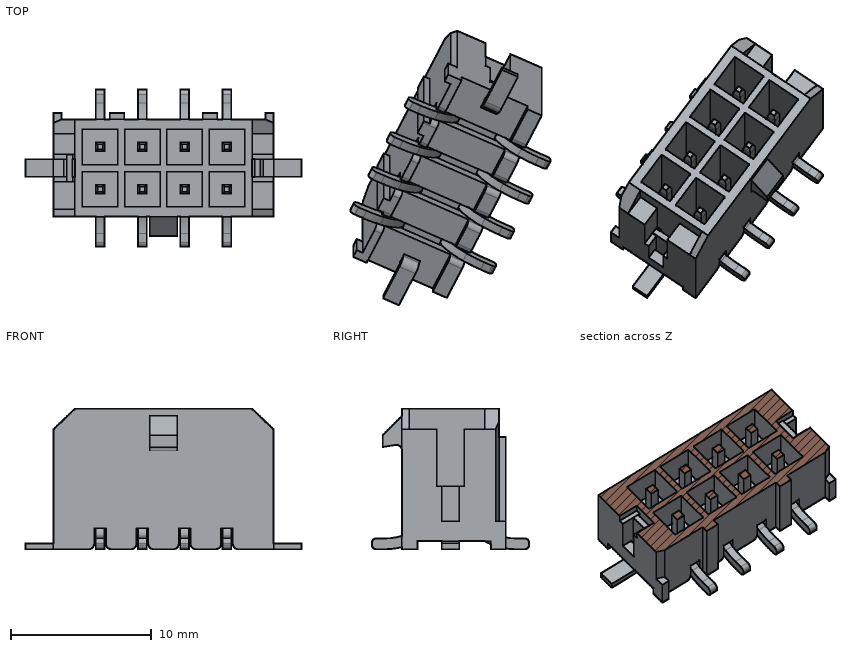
import cadquery as cq
import math

housing_length = 15.68
housing_depth = 6.92
height = 10.0
half_length = housing_length / 2
half_depth = housing_depth / 2

columns = 4
pitch = 3.0
cavity_size = 2.52
cavity_floor_z = 2.5
column_xs = [(i - (columns - 1) / 2) * pitch for i in range(columns)]
row_ys = [-pitch / 2, pitch / 2]

corner_run = 1.53
corner_drop = 1.47
shelf_z = height - corner_drop
inner_wall_x = half_length - corner_run
front_wall = 0.53
rear_wall = 1.02

rear_step = 0.47
rear_y = half_depth + rear_step
foot_top_z = 2.0
bevel_x = 0.59
bevel_y = 0.25
rib_width = 1.05
rib_spacing = 6.62
rib_top_z = 8.0

channel_front_y = -2.34
channel_rear_y = 2.87
channel_height = 0.59
lead_slot_width = 0.83
lead_slot_height = 1.5
lead_slot_flare = 0.4

latch_width = 1.98
latch_top_z = 9.5
latch_reach = 1.38
latch_tip_top_z = latch_top_z - latch_reach
latch_tip_bottom_z = 7.27
latch_root_radius = 0.4
latch_hollow_z = 7.43
latch_root_z = latch_hollow_z - latch_root_radius

nail_width = 1.25
nail_thickness = 0.43
nail_tip_x = 9.82
nail_leaf_x = 6.9
nail_bend = 0.2
nail_head_width = 1.93
nail_head_top_z = 4.62
nail_hole_outer_x = nail_leaf_x + nail_bend
slot_width = 1.96
slot_floor_z = foot_top_z
ledge_z = 4.48

contact_width = 0.63
contact_tip_z = 8.0
contact_tip_width = 0.35
contact_taper = 0.59
lead_thickness = 0.79
lead_tip_y = 5.6
lead_tip_radius = 0.33
lead_bend_y = 4.64
lead_bend_radius = 3.9
lead_bend_angle = math.radians(17)
lead_root_radius = 2.75
lead_root_angle = math.radians(60)


def block(x0, x1, y0, y1, z0, z1):
    """Axis-aligned box between two opposite corners."""
    return cq.Workplane("XY").box(x1 - x0, y1 - y0, z1 - z0, centered=False).translate((x0, y0, z0))


def make_shell():
    """Housing block with sloped top corners, end pockets and bevelled rear edges."""
    shell = (
        cq.Workplane("XZ", origin=(0, half_depth, 0))
        .polyline([
            (-half_length, 0),
            (half_length, 0),
            (half_length, shelf_z),
            (inner_wall_x, height),
            (-inner_wall_x, height),
            (-half_length, shelf_z),
        ])
        .close()
        .extrude(housing_depth)
    )
    pocket_front_y = front_wall - half_depth
    pocket_rear_y = half_depth - rear_wall
    for side in (-1, 1):
        pocket = block(inner_wall_x, half_length, pocket_front_y, pocket_rear_y, shelf_z, height)
        bevel = (
            cq.Workplane("XY", origin=(0, 0, foot_top_z))
            .polyline([
                (half_length, half_depth - bevel_y),
                (half_length, half_depth),
                (half_length - bevel_x, half_depth),
            ])
            .close()
            .extrude(height)
        )
        cutter = pocket.union(bevel)
        if side < 0:
            cutter = cutter.mirror("YZ")
        shell = shell.cut(cutter)
    return shell


def make_nail_slot():
    """Stepped slot in the +X end wall, with the hole that the nail stands in."""
    half_slot = slot_width / 2
    half_nail = nail_width / 2
    upper = block(inner_wall_x, half_length, -half_slot, half_slot, ledge_z, shelf_z)
    lower = block(inner_wall_x, half_length, -half_nail, half_nail, slot_floor_z, ledge_z)
    hole = block(inner_wall_x, nail_hole_outer_x, -half_nail, half_nail, 0, slot_floor_z)
    return upper.union(lower).union(hole)


def make_lead_slot(x):
    """Slot along Y for the leads of one column, flared by round edges at the bottom."""
    half_slot = lead_slot_width / 2
    half_mouth = half_slot + lead_slot_flare
    bulge = lead_slot_flare * math.sqrt(0.5)
    return (
        cq.Workplane("XZ", origin=(x, rear_y, 0))
        .moveTo(-half_mouth, 0)
        .threePointArc((bulge - half_mouth, lead_slot_flare - bulge), (-half_slot, lead_slot_flare))
        .lineTo(-half_slot, lead_slot_height)
        .lineTo(half_slot, lead_slot_height)
        .lineTo(half_slot, lead_slot_flare)
        .threePointArc((half_mouth - bulge, lead_slot_flare - bulge), (half_mouth, 0))
        .close()
        .extrude(2 * rear_y)
    )


def make_cavity(x, y):
    """Square socket around one contact, open at the top."""
    cavity = cq.Workplane("XY", origin=(x, y, cavity_floor_z)).rect(cavity_size, cavity_size)
    return cavity.extrude(height - cavity_floor_z)


def make_latch():
    """Ramp with a hollow underside that blends into the front face."""
    bulge = latch_root_radius * math.sqrt(0.5)
    root_y = -half_depth
    tip_y = root_y - latch_reach
    hollow_y = root_y - latch_root_radius
    return (
        cq.Workplane("YZ", origin=(-latch_width / 2, 0, 0))
        .moveTo(root_y, latch_top_z)
        .lineTo(tip_y, latch_tip_top_z)
        .lineTo(tip_y, latch_tip_bottom_z)
        .lineTo(hollow_y, latch_hollow_z)
        .threePointArc((hollow_y + bulge, latch_root_z + bulge), (root_y, latch_root_z))
        .close()
        .extrude(latch_width)
    )


def make_contact(x, row):
    """Square pin with a tapered tip and a foot that curves out of the housing; row is -1 or 1."""
    post = cq.Workplane("XY", origin=(0, -pitch / 2, lead_slot_height)).rect(contact_width, contact_width)
    post = post.extrude(contact_tip_z - contact_taper - lead_slot_height)
    tip = (
        post.faces(">Z").workplane()
        .rect(contact_width, contact_width)
        .workplane(offset=contact_taper)
        .rect(contact_tip_width, contact_tip_width)
        .loft(combine=False)
    )

    bend_y = -lead_bend_y
    bend_z = lead_thickness + lead_bend_radius
    center_shift = lead_bend_radius - lead_root_radius
    root_y = bend_y + center_shift * math.sin(lead_bend_angle)
    root_z = bend_z - center_shift * math.cos(lead_bend_angle)
    middle_bend_angle = lead_bend_angle / 2
    middle_root_angle = (lead_bend_angle + lead_root_angle) / 2

    def bend_point(offset, angle):
        radius = lead_bend_radius + offset
        return bend_y + radius * math.sin(angle), bend_z - radius * math.cos(angle)

    def root_point(offset, angle):
        radius = lead_root_radius + offset
        return root_y + radius * math.sin(angle), root_z - radius * math.cos(angle)

    lead = (
        cq.Workplane("YZ", origin=(-contact_width / 2, 0, 0))
        .moveTo(-lead_tip_y, 0)
        .lineTo(-lead_bend_y, 0)
        .threePointArc(
            bend_point(lead_thickness, middle_bend_angle),
            bend_point(lead_thickness, lead_bend_angle),
        )
        .threePointArc(
            root_point(lead_thickness, middle_root_angle),
            root_point(lead_thickness, lead_root_angle),
        )
        .lineTo(*root_point(0, lead_root_angle))
        .threePointArc(root_point(0, middle_root_angle), root_point(0, lead_bend_angle))
        .threePointArc(bend_point(0, middle_bend_angle), (-lead_bend_y, lead_thickness))
        .lineTo(-lead_tip_y, lead_thickness)
        .close()
        .extrude(contact_width)
        .faces("<Y").edges("|X").fillet(lead_tip_radius)
    )
    contact = post.union(tip).union(lead)
    if row > 0:
        contact = contact.mirror("XZ")
    return contact.translate((x, 0, 0))


def make_housing():
    """Housing with its latch, ribs, feet and molded-in contacts."""
    body = make_shell()
    for side in (-1, 1):
        foot = block(half_length - bevel_x, half_length, channel_rear_y, rear_y, 0, foot_top_z)
        rib = block(-rib_width / 2, rib_width / 2, 0, rear_step, 0, rib_top_z)
        body = body.union(foot if side > 0 else foot.mirror("YZ"))
        body = body.union(rib.translate((side * rib_spacing / 2, half_depth, 0)))
    body = body.union(make_latch())

    body = body.cut(block(-half_length, half_length, channel_front_y, channel_rear_y, 0, channel_height))
    slot = make_nail_slot()
    body = body.cut(slot).cut(slot.mirror("YZ"))
    for x in column_xs:
        body = body.cut(make_lead_slot(x))
        for y in row_ys:
            body = body.cut(make_cavity(x, y))
    for x in column_xs:
        for row in (-1, 1):
            body = body.union(make_contact(x, row))
    return body


def make_nail():
    """Bent strip at the +X end: a flat solder foot and an upright leaf."""
    inner_bend = cq.selectors.NearestToPointSelector((nail_leaf_x, 0, nail_thickness))
    outer_bend = cq.selectors.NearestToPointSelector((nail_leaf_x - nail_thickness, 0, 0))
    return (
        cq.Workplane("XZ", origin=(0, nail_width / 2, 0))
        .polyline([
            (nail_leaf_x - nail_thickness, 0),
            (nail_tip_x, 0),
            (nail_tip_x, nail_thickness),
            (nail_leaf_x, nail_thickness),
            (nail_leaf_x, ledge_z),
            (nail_leaf_x - nail_thickness, ledge_z),
        ])
        .close()
        .extrude(nail_width)
        .edges(inner_bend).fillet(nail_bend)
        .edges(outer_bend).fillet(nail_bend + nail_thickness)
    )


def make_headed_nail():
    """Nail at the -X end, whose wider head rests on the slot ledge."""
    half_head = nail_head_width / 2
    head = block(nail_leaf_x - nail_thickness, nail_leaf_x, -half_head, half_head, ledge_z, nail_head_top_z)
    return make_nail().union(head).mirror("YZ")


housing = make_housing()
plain_nail = make_nail()
headed_nail = make_headed_nail()

result = cq.Compound.makeCompound([housing.val(), plain_nail.val(), headed_nail.val()])